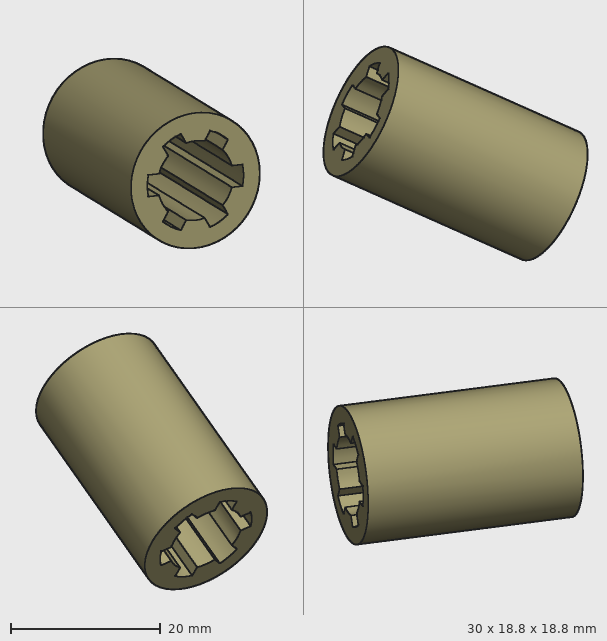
import cadquery as cq

length = 30.0
outer_diameter = 18.75
minor_diameter = 11.0
major_diameter = 14.0
groove_count = 6
groove_width = 3.0


def cylinder(diameter):
    """Full-length cylinder centred on the X axis."""
    start = cq.Workplane("YZ").workplane(offset=-length / 2)
    return start.circle(diameter / 2).extrude(length)


def spline_bore():
    """Round bore with evenly spaced grooves, one pair lying along Y."""
    bar = cq.Workplane("XY").box(length, major_diameter, groove_width)
    grooves = bar
    for index in range(1, groove_count // 2):
        angle = index * 360 / groove_count
        grooves = grooves.union(bar.rotate((0, 0, 0), (1, 0, 0), angle))
    grooves = grooves.intersect(cylinder(major_diameter))
    return cylinder(minor_diameter).union(grooves)


result = cylinder(outer_diameter).cut(spline_bore())